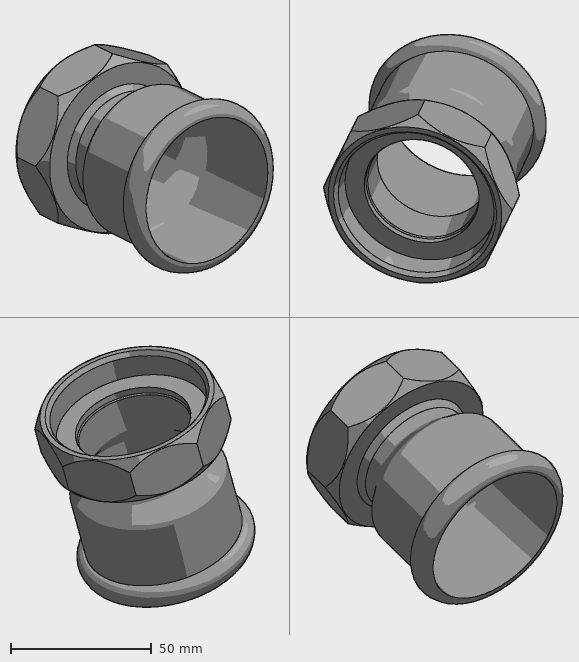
import cadquery as cq
import math

total_length = 70.1

nut_sides = 8
nut_corner_diameter = 69.3
nut_length = 19.65
nut_face_diameter = 63.55
nut_chamfer_depth = 4.55

collar_radius = 23.85
collar_end = 22.15

neck_radius = 44.0 / 2
neck_end = 28.05
body_radius = 57.5 / 2
neck_blend_radius = 1.95
body_blend_radius = 3.6

neck_bore_radius = 41.0 / 2
socket_bore_radius = 54.7 / 2
neck_wall = neck_radius - neck_bore_radius
body_wall = body_radius - socket_bore_radius

bead_radius = 64.7 / 2
bead_round_radius = 4.15
bead_center = 64.7
bead_slope = math.radians(17.5)

mouth_radius = 59.7 / 2
thread_start_radius = 57.0 / 2
thread_end_radius = 56.0 / 2
mouth_chamfer_depth = 1.7
seat_depth = 10.0
seat_bore_radius = 42.0 / 2
seat_bore_end = 12.6


def revolve_x(sketch):
    """Turn a profile drawn in (x, radius) around the X axis."""
    return sketch.close().revolve(360, (0, 0, 0), (1, 0, 0))


def polar(center, radius, angle):
    """Point on a circle at an angle measured from +x."""
    x, y = center
    return (x + radius * math.cos(angle), y + radius * math.sin(angle))


def shoulder(sketch, start_radius, end_radius, corner, start_blend, end_blend):
    """Draw a 45 degree cone between two cylinders, with tangent blends at both corners."""
    diagonal = math.sqrt(0.5)
    half_turn = math.tan(math.pi / 8)
    end_corner = corner + end_radius - start_radius
    start_tangent = start_blend * half_turn
    end_tangent = end_blend * half_turn
    return (
        sketch.lineTo(corner - start_tangent, start_radius)
        .tangentArcPoint(
            (corner + start_tangent * diagonal, start_radius + start_tangent * diagonal), relative=False
        )
        .lineTo(end_corner - end_tangent * diagonal, end_radius - end_tangent * diagonal)
        .tangentArcPoint((end_corner + end_tangent, end_radius), relative=False)
    )


def make_nut():
    """Octagonal prism with both ends turned to a cone."""
    corner_radius = nut_corner_diameter / 2
    face_radius = nut_face_diameter / 2
    prism = cq.Workplane("YZ").polygon(nut_sides, nut_corner_diameter).extrude(nut_length)
    envelope = revolve_x(
        cq.Workplane("XY")
        .lineTo(0, face_radius)
        .lineTo(nut_chamfer_depth, corner_radius)
        .lineTo(nut_length - nut_chamfer_depth, corner_radius)
        .lineTo(nut_length, face_radius)
        .lineTo(nut_length, 0)
    )
    return prism.intersect(envelope)


def make_body():
    """Collar, neck, shoulder, socket and bead as one turned shape."""
    crown_center = (bead_center, bead_radius - bead_round_radius)
    lip_x = total_length - bead_round_radius
    lip_center = (lip_x, crown_center[1] - (lip_x - bead_center) * math.tan(bead_slope))
    slope_normal = math.pi / 2 - bead_slope
    body_angle = math.pi - math.asin((body_radius - crown_center[1]) / bead_round_radius)

    profile = cq.Workplane("XY").moveTo(nut_length, 0).lineTo(nut_length, collar_radius)
    profile = profile.lineTo(collar_end, neck_radius)
    profile = shoulder(profile, neck_radius, body_radius, neck_end, neck_blend_radius, body_blend_radius)
    profile = (
        profile.lineTo(*polar(crown_center, bead_round_radius, body_angle))
        .threePointArc(
            (bead_center, bead_radius),
            polar(crown_center, bead_round_radius, slope_normal),
        )
        .lineTo(*polar(lip_center, bead_round_radius, slope_normal))
        .tangentArcPoint((total_length, lip_center[1]), relative=False)
        .lineTo(total_length, 0)
    )
    return revolve_x(profile)


def make_bore():
    """Stepped passage through the nut, the neck and the socket."""
    seat_chamfer = seat_bore_radius - neck_bore_radius
    bore_corner = neck_end + neck_wall * math.tan(math.pi / 8)
    profile = (
        cq.Workplane("XY")
        .lineTo(0, mouth_radius)
        .lineTo(mouth_chamfer_depth, thread_start_radius)
        .lineTo(seat_depth, thread_end_radius)
        .lineTo(seat_depth, seat_bore_radius)
        .lineTo(seat_bore_end, seat_bore_radius)
        .lineTo(seat_bore_end + seat_chamfer, neck_bore_radius)
    )
    profile = shoulder(
        profile,
        neck_bore_radius,
        socket_bore_radius,
        bore_corner,
        neck_blend_radius + neck_wall,
        body_blend_radius - body_wall,
    )
    return revolve_x(profile.lineTo(total_length, socket_bore_radius).lineTo(total_length, 0))


result = make_nut().union(make_body()).cut(make_bore())